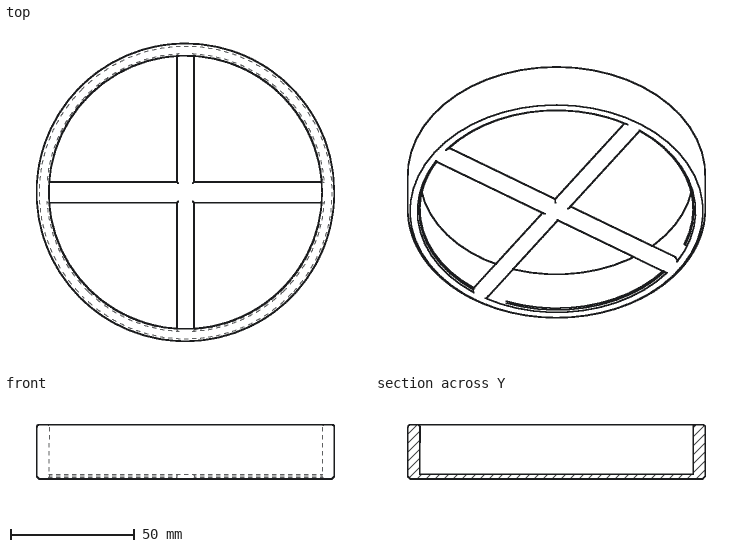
import cadquery as cq
outer_diameter = 120.5
inner_diameter = 110.5
height = 22.0
top_edge_radius = 1.0
bottom_chamfer = 1.0
chamfer_blend_radius = 1.0

spoke_thickness = 2.0
x_spoke_width = 8.5
y_spoke_width = 7.0
spoke_edge_radius = 0.7

spoke_length = (outer_diameter + inner_diameter) / 2


def make_ring():
    """Ring with a rounded top rim and chamfered bottom edges that blend into the walls."""
    ring = cq.Workplane("XY").circle(outer_diameter / 2).circle(inner_diameter / 2).extrude(height)
    ring = ring.faces(">Z").edges().fillet(top_edge_radius)
    ring = ring.faces("<Z").edges().chamfer(bottom_chamfer)
    chamfer_tops = cq.selectors.BoxSelector(
        (-outer_diameter, -outer_diameter, bottom_chamfer / 2),
        (outer_diameter, outer_diameter, bottom_chamfer * 2),
    )
    return ring.edges("%CIRCLE").edges(chamfer_tops).fillet(chamfer_blend_radius)


def make_cross():
    """Two crossing bars with rounded upper and lower edges, ending inside the ring wall."""
    x_spoke = cq.Workplane("XY").rect(spoke_length, x_spoke_width).extrude(spoke_thickness)
    y_spoke = cq.Workplane("XY").rect(y_spoke_width, spoke_length).extrude(spoke_thickness)
    return x_spoke.union(y_spoke).faces("<Z or >Z").edges().fillet(spoke_edge_radius)


result = make_ring().union(make_cross())